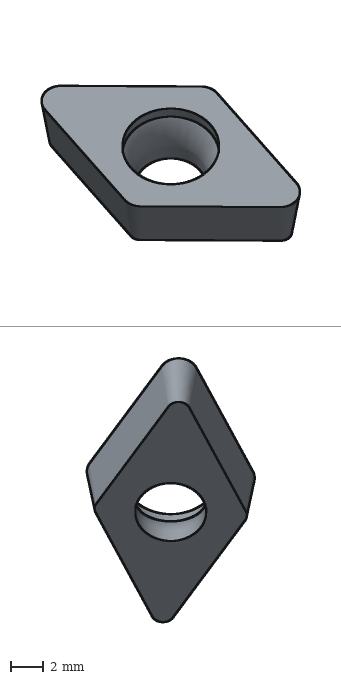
import cadquery as cq
import math

length = 16.08
width = 9.54
thickness = 3.97
nose_angle = 55.0
relief_angle = 7.0
mouth_diameter = 6.0
mouth_depth = 0.8
bore_diameter = 4.4
seat_depth = 2.85


def insert_body():
    """Rounded rhombus narrowing towards the base."""
    half_width = width / 2
    half_side = half_width / math.sin(math.radians(nose_angle))
    lean = half_width / math.tan(math.radians(nose_angle))
    corners = [
        (-half_side - lean, -half_width),
        (half_side - lean, -half_width),
        (half_side + lean, half_width),
        (-half_side + lean, half_width),
    ]
    trim_per_radius = 1 / math.tan(math.radians(nose_angle / 2)) - 1
    corner_radius = (half_side + lean - length / 2) / trim_per_radius
    outline = cq.Sketch().polygon(corners + corners[:1]).vertices().fillet(corner_radius)
    return (
        cq.Workplane("XY", origin=(0, 0, thickness))
        .placeSketch(outline)
        .extrude(-thickness, taper=relief_angle)
    )


def screw_hole():
    """Straight mouth, convex curved seat tangent to the bore, and through bore."""
    mouth_radius = mouth_diameter / 2
    bore_radius = bore_diameter / 2
    mouth_bottom = thickness - mouth_depth
    seat_bottom = thickness - seat_depth
    seat_height = mouth_bottom - seat_bottom
    seat_step = mouth_radius - bore_radius
    seat_radius = (seat_height**2 + seat_step**2) / (2 * seat_step)
    half_sweep = math.asin(seat_height / seat_radius) / 2
    seat_middle = (
        bore_radius + seat_radius * (1 - math.cos(half_sweep)),
        seat_bottom + seat_radius * math.sin(half_sweep),
    )
    return (
        cq.Workplane("XZ")
        .moveTo(0, 0)
        .lineTo(bore_radius, 0)
        .lineTo(bore_radius, seat_bottom)
        .threePointArc(seat_middle, (mouth_radius, mouth_bottom))
        .lineTo(mouth_radius, thickness)
        .lineTo(0, thickness)
        .close()
        .revolve(360, (0, 0, 0), (0, 1, 0))
    )


result = insert_body().cut(screw_hole())